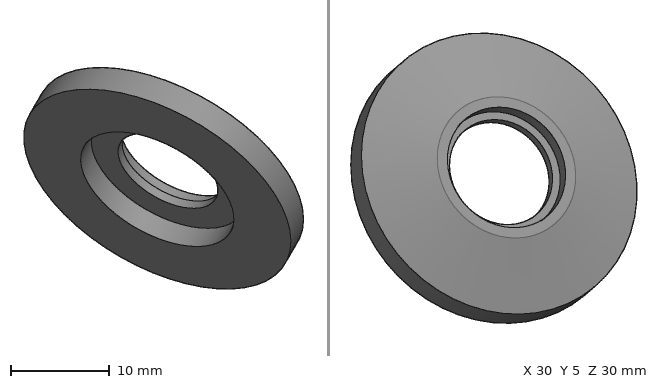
import cadquery as cq
import math

outer_diameter = 30.0
total_thickness = 5.0
rim_thickness = 3.0
cone_slope_deg = 15.0
front_recess_diameter = 17.2
front_recess_depth = 2.5
bore_diameter = 11.2
back_recess_diameter = 12.86
back_recess_depth = 1.5

outer_radius = outer_diameter / 2
front_recess_radius = front_recess_diameter / 2
bore_radius = bore_diameter / 2
back_recess_radius = back_recess_diameter / 2
cone_height = total_thickness - rim_thickness
back_flat_radius = outer_radius - cone_height / math.tan(math.radians(cone_slope_deg))

front_y = -total_thickness / 2
back_y = total_thickness / 2
rim_back_y = front_y + rim_thickness


def washer_body():
    """Disc with a straight rim and a conical back, revolved around the Y axis."""
    half_section = (
        cq.Workplane("XY")
        .moveTo(0, front_y)
        .lineTo(outer_radius, front_y)
        .lineTo(outer_radius, rim_back_y)
        .lineTo(back_flat_radius, back_y)
        .lineTo(0, back_y)
        .close()
    )
    return half_section.revolve(360, (0, 0, 0), (0, 1, 0))


def round_cutter(radius, start_y, length):
    """Cylinder on the Y axis, reaching from start_y towards +Y."""
    return cq.Workplane(cq.Solid.makeCylinder(radius, length, cq.Vector(0, start_y, 0), cq.Vector(0, 1, 0)))


bore = round_cutter(bore_radius, front_y, total_thickness)
front_recess = round_cutter(front_recess_radius, front_y, front_recess_depth)
back_recess = round_cutter(back_recess_radius, back_y - back_recess_depth, back_recess_depth)

result = washer_body().cut(bore).cut(front_recess).cut(back_recess)